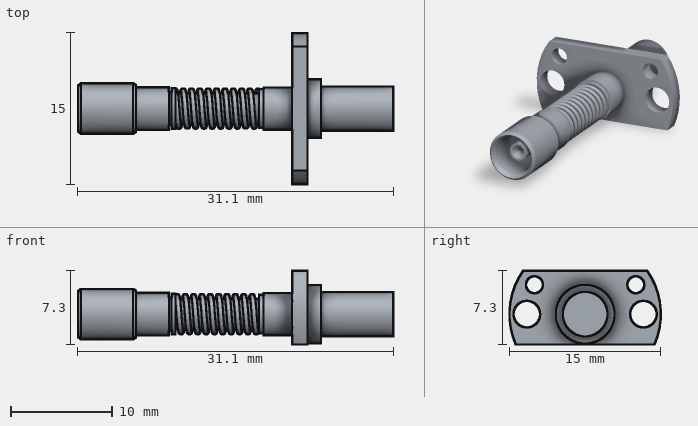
import math

import cadquery as cq


HEAD_RADIUS = 2.5
HEAD_LENGTH = 5.76
HEAD_CHAMFER_LENGTH = 0.3
HEAD_FRONT_CHAMFER = 0.25
HEAD_REAR_CHAMFER = 0.2

NECK_RADIUS = 2.125
NECK_END = 8.98
GROOVE_RADIUS = 1.65
DISC_START = 9.25
DISC_END = 9.65
DISC_RADIUS = 2.03

CORE_RADIUS = 1.525
SEAT_START = 17.87
SEAT_RADIUS = 1.93
BARREL_START = 18.33
BARREL_RADIUS = 2.1

WIRE_RADIUS = 0.25
COIL_RADIUS = 1.75
COIL_PITCH = 0.824
COIL_TURNS = 10
COIL_START = 9.56

FLANGE_START = 21.13
FLANGE_THICKNESS = 1.53
FLANGE_END = FLANGE_START + FLANGE_THICKNESS
FLANGE_RADIUS = 7.48
FLANGE_TOP = 4.3
FLANGE_BOTTOM = -3.0
SCREW_HOLE_DIAMETER = 2.6
SCREW_HOLE_Y = 5.75
PIN_HOLE_DIAMETER = 1.65
PIN_HOLE_Y = 5.0
PIN_HOLE_Z = 2.9

BOSS_END = 24.0
BOSS_RADIUS = 2.9
TUBE_RADIUS = 2.2
TOTAL_LENGTH = 31.13

RIM_RADIUS = HEAD_RADIUS - HEAD_FRONT_CHAMFER
LEAD_IN_LENGTH = 0.55
SOCKET_RADIUS = 2.0
SOCKET_WALL_END = 4.0
DRILL_POINT_ANGLE = 120
PIN_RADIUS = 0.9
PIN_FRONT = 1.5
DIMPLE_RADIUS = 0.7
DIMPLE_DEPTH = 0.7
FLOOR_DEPTH = (SOCKET_RADIUS - PIN_RADIUS) / math.tan(math.radians(DRILL_POINT_ANGLE / 2))
SOCKET_END = SOCKET_WALL_END + FLOOR_DEPTH


def revolved(profile):
    """Solid of revolution about X from (x, radius) points; the axis closes the profile."""
    return cq.Workplane("XY").polyline(profile).close().revolve(360, (0, 0, 0), (1, 0, 0))


def cylinder(start, end, radius):
    """Cylinder on the X axis between two X positions."""
    return cq.Workplane("YZ", origin=(start, 0, 0)).circle(radius).extrude(end - start)


def make_head():
    """Chamfered head with its socket and dimpled contact pin."""
    head = revolved([
        (0, 0),
        (0, RIM_RADIUS),
        (HEAD_CHAMFER_LENGTH, HEAD_RADIUS),
        (HEAD_LENGTH - HEAD_CHAMFER_LENGTH, HEAD_RADIUS),
        (HEAD_LENGTH, HEAD_RADIUS - HEAD_REAR_CHAMFER),
        (HEAD_LENGTH, 0),
    ])
    socket = revolved([
        (0, 0),
        (0, RIM_RADIUS),
        (LEAD_IN_LENGTH, SOCKET_RADIUS),
        (SOCKET_WALL_END, SOCKET_RADIUS),
        (SOCKET_END, PIN_RADIUS),
        (SOCKET_END, 0),
    ])
    pin = revolved([
        (PIN_FRONT, DIMPLE_RADIUS),
        (PIN_FRONT, PIN_RADIUS),
        (SOCKET_END, PIN_RADIUS),
        (SOCKET_END, 0),
        (PIN_FRONT + DIMPLE_DEPTH, 0),
    ])
    return head.cut(socket).union(pin)


def make_spring():
    """Right-hand coil that starts and ends on the +Y side."""
    path = cq.Wire.makeHelix(
        COIL_PITCH,
        COIL_PITCH * COIL_TURNS,
        COIL_RADIUS,
        center=cq.Vector(0, 0, 0),
        dir=cq.Vector(0, 0, 1),
    )
    coil = (
        cq.Workplane("XZ", origin=(COIL_RADIUS, 0, 0))
        .circle(WIRE_RADIUS)
        .sweep(cq.Workplane(path), isFrenet=True)
    )
    coil_plane = cq.Plane(origin=(COIL_START, 0, 0), xDir=(0, 1, 0), normal=(1, 0, 0))
    coil = cq.Workplane(coil.val().moved(cq.Location(coil_plane)))
    return coil.intersect(cylinder(DISC_END, SEAT_START, 2 * COIL_RADIUS))


def make_shaft():
    """Stepped shaft from the neck to the rear tube, with the spring around its core."""
    shaft = cylinder(DISC_END, SEAT_START, CORE_RADIUS).union(make_spring())
    steps = [
        (HEAD_LENGTH, NECK_END, NECK_RADIUS),
        (NECK_END, DISC_START, GROOVE_RADIUS),
        (DISC_START, DISC_END, DISC_RADIUS),
        (SEAT_START, BARREL_START, SEAT_RADIUS),
        (BARREL_START, FLANGE_END, BARREL_RADIUS),
        (FLANGE_END, BOSS_END, BOSS_RADIUS),
        (BOSS_END, TOTAL_LENGTH, TUBE_RADIUS),
    ]
    for start, end, radius in steps:
        shaft = shaft.union(cylinder(start, end, radius))
    return shaft


def make_flange():
    """Disc cut flat above and below, with two pairs of through holes."""
    disc = cylinder(FLANGE_START, FLANGE_END, FLANGE_RADIUS)
    band = cq.Workplane("XY").box(
        FLANGE_THICKNESS,
        2 * FLANGE_RADIUS,
        FLANGE_TOP - FLANGE_BOTTOM,
        centered=(False, True, False),
    )
    flange = disc.intersect(band.translate((FLANGE_START, 0, FLANGE_BOTTOM)))
    screw_hole = cylinder(FLANGE_START, FLANGE_END, SCREW_HOLE_DIAMETER / 2)
    pin_hole = cylinder(FLANGE_START, FLANGE_END, PIN_HOLE_DIAMETER / 2)
    for side in (-1, 1):
        flange = flange.cut(screw_hole.translate((0, side * SCREW_HOLE_Y, 0)))
        flange = flange.cut(pin_hole.translate((0, side * PIN_HOLE_Y, PIN_HOLE_Z)))
    return flange


result = make_shaft().union(make_head()).union(make_flange())